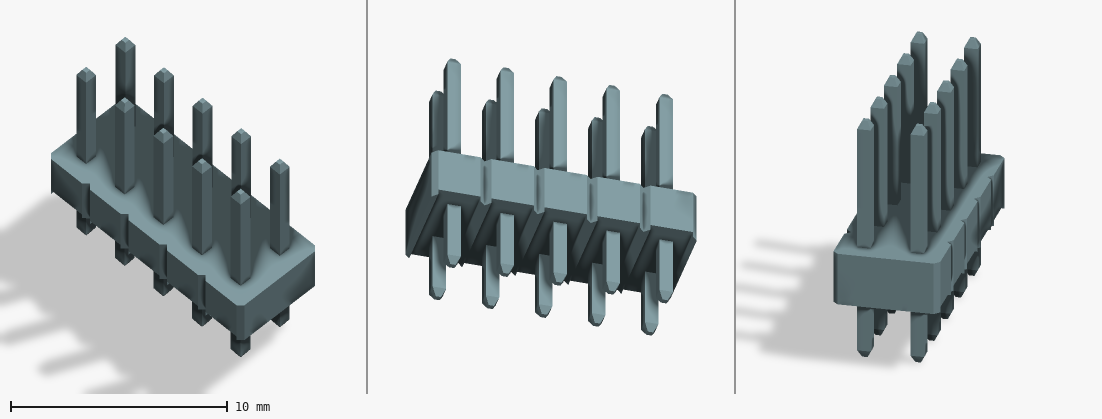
import cadquery as cq

pitch = 2.54
columns = 5
rows = 2

body_width = rows * pitch
body_height = 2.55
corner_cut = 0.25
channel_depth = 0.27

pin_size = 0.65
pin_above_body = 6.35
pin_below_body = 3.04
tip_size = 0.25
tip_length = 0.38


def make_segment():
    """One pitch-long slice of the body, bevelled at its four upright edges and relieved underneath."""
    block = (
        cq.Workplane("XY")
        .box(pitch, body_width, body_height, centered=(True, True, False))
        .edges("|Z")
        .chamfer(corner_cut)
    )
    channel_width = pitch - 2 * corner_cut
    channel = cq.Workplane("XY").box(
        channel_width, body_width, channel_depth, centered=(True, True, False)
    )
    return block.cut(channel)


def make_tip(base_z, direction):
    """Tapered pin end; direction is +1 for a tip pointing up, -1 for one pointing down."""
    return (
        cq.Workplane("XY", origin=(0, 0, base_z))
        .rect(pin_size, pin_size)
        .workplane(offset=direction * tip_length)
        .rect(tip_size, tip_size)
        .loft(ruled=True)
    )


def make_pin():
    """Straight square pin, tapered at both ends; the body stands on z = 0."""
    shank_bottom = tip_length - pin_below_body
    shank_top = body_height + pin_above_body - tip_length
    shank = (
        cq.Workplane("XY", origin=(0, 0, shank_bottom))
        .rect(pin_size, pin_size)
        .extrude(shank_top - shank_bottom)
    )
    return shank.union(make_tip(shank_top, 1)).union(make_tip(shank_bottom, -1))


segment = make_segment()
pin = make_pin()

result = cq.Workplane("XY")
for column in range(columns):
    x = (column - (columns - 1) / 2) * pitch
    result = result.union(segment.translate((x, 0, 0)))
    for row in range(rows):
        y = (row - (rows - 1) / 2) * pitch
        result = result.union(pin.translate((x, y, 0)))

result = result.clean()